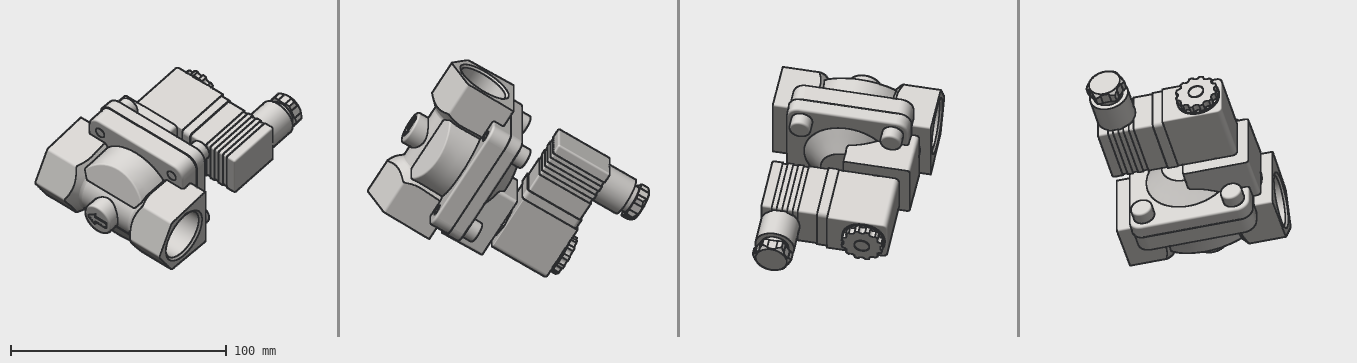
import cadquery as cq
import math


port_span = 74.5
hex_apothem = 15.66
hex_back_y = 15.9
hex_back_half = 17.0
hex_edge_round = 1.7
hex_back_round = 0.9
waist_radius = 12.6
waist_cone_x = 14.5
waist_round = 2.1
thread_dia = 24.1
thread_mouth_dia = 26.4
thread_depth = 13.8
bore_dia = 19.5
bore_depth = 20.2
bowl_radius_top = 22.3
bowl_radius_low = 21.9
bowl_rim_y = -2.7
bowl_flat_end_y = -8.5
bowl_flat_end_z = 8.8
bowl_rim_round = 0.9
boss_dia = 15.8
boss_end_y = -17.7
boss_edge_round = 0.9
arrow_end_y = -18.3
arrow_tip_x = -5.0
arrow_tip_half = 0.5
arrow_shoulder_x = -1.1
arrow_head_half = 3.3
arrow_shaft_half = 1.6
arrow_tail_x = 5.6
arrow_round = 0.5

flange_low_y = 10.2
joint_y = 19.8
flange_top_y = 26.3
body_flange_width = 56.8
cover_flange_width = 57.8
cover_flange_draft = 2.0
flange_corner = 6.1
flange_edge_round = 1.1
screw_offset = 21.4
screw_shank_dia = 5.0
screw_head_dia = 10.0
screw_head_top_y = 32.2
screw_head_round = 1.0

channel_radius = 13.4
channel_blend = 3.1
channel_half = 10.7
block_left_x = -32.7
block_right_x = -0.5
block_half = 14.8
block_top_y = 41.2
block_corner = 1.8
block_draft = 0.9
dome_radius_low = 20.4
dome_radius_top = 11.1
dome_top_y = 34.1

coil_axis_x = -16.6
coil_left_x = -27.7
coil_right_x = 0.7
coil_low_y = 43.7
coil_top_y = 73.2
coil_half = 11.0
coil_corner = 2.4
coil_top_round = 0.7
coil_low_round = 0.3
coil_nut_flats = 13.8
knob_base_dia = 20.2
knob_base_top_y = 74.1
knob_dia = 19.5
knob_top_y = 77.6
knob_ridges = 12
scallop_radius = 1.7
scallop_half = 1.6
knob_tip_dia = 7.1
knob_tip_y = 77.9
gasket_right_x = 5.6
gasket_low_y = 42.7
gasket_top_y = 72.4
gasket_half = 11.5
gasket_corner = 2.1
gasket_edge_round = 0.8
plug_right_x = 32.1
plug_low_y = 43.4
plug_top_y = 71.7
plug_half = 10.8
plug_edge_round = 1.0
groove_start_x = 14.8
groove_pitch = 4.9
groove_width = 2.4
groove_count = 3
groove_depth = 0.3
gland_dia = 18.3
gland_top_y = 85.6
gland_neck_dia = 13.2
gland_nut_low_y = 88.7
gland_nut_top_y = 94.0
gland_nut_flats = 15.8
gland_nut_chamfer = 1.8
gland_slot_width = 4.0
gland_slot_depth = 0.2


def across_y(y, x=0.0):
    """Sketch plane square to Y; extruding by a negative length goes toward +Y."""
    return cq.Workplane("XZ", origin=(x, y, 0))


def disc(dia, y0, y1, x=0.0):
    return across_y(y0, x).circle(dia / 2).extrude(y0 - y1)


def block(x0, x1, y0, y1, half_z):
    center = ((x0 + x1) / 2, (y0 + y1) / 2, 0)
    return cq.Workplane("XY").box(x1 - x0, y1 - y0, 2 * half_z).translate(center)


def rounded_block(length, width, corner, y0, y1, x, draft):
    """Rectangular block along Y with round corners, narrowing toward +Y by the draft angle."""
    plane = across_y(y0, x)
    outline = plane.sketch().rect(length, width).vertices().fillet(corner).finalize()
    return outline.extrude(y0 - y1, taper=draft)


def hexagon(flats, y0, y1, x):
    """Hexagonal prism along Y with its corners toward -X and +X."""
    return across_y(y0, x).polygon(6, flats / math.cos(math.pi / 6)).extrude(y0 - y1)


def four_corners(workplane):
    return workplane.rect(2 * screw_offset, 2 * screw_offset, forConstruction=True).vertices()


def flange(width, y0, y1, draft=0.0):
    """Square plate with round corners, narrowing toward +Y by the draft angle."""
    return rounded_block(width, width, flange_corner, y0, y1, 0.0, draft)



def port_prism():
    shoulder_y = -hex_apothem * math.tan(math.pi / 6)
    apex_y = -hex_apothem / math.cos(math.pi / 6)
    outline = [
        (apex_y, 0),
        (shoulder_y, hex_apothem),
        (hex_back_y, hex_back_half),
        (hex_back_y, -hex_back_half),
        (shoulder_y, -hex_apothem),
    ]
    prism = cq.Workplane("YZ").polyline(outline).close().extrude(port_span / 2, both=True)
    prism = prism.edges("|X").edges("<Y or (not >Y)").fillet(hex_edge_round)
    return prism.edges("|X").edges(">Y").fillet(hex_back_round)


def port_ends():
    """Both port hexagons, necked to a round waist in front and straight back to the flange."""
    reach = 22.5
    end_x = port_span / 2
    cone_x = waist_cone_x + reach - waist_radius
    half_outline = [
        (-end_x, 0), (-end_x, reach), (-cone_x, reach), (-waist_cone_x, waist_radius),
        (waist_cone_x, waist_radius), (cone_x, reach), (end_x, reach), (end_x, 0),
    ]
    mirrored = [(x, -z) for x, z in reversed(half_outline[1:-1])]
    front = cq.Workplane("XZ").polyline(half_outline).close().revolve(180, (0, 0), (1, 0))
    box = [waist_cone_x + waist_round, waist_radius + waist_round, waist_radius + waist_round]
    waist_rings = cq.selectors.BoxSelector([-size for size in box], box, boundingbox=True)
    front = front.edges(waist_rings).edges("%CIRCLE").fillet(waist_round)
    back = cq.Workplane("XZ").polyline(half_outline[1:-1] + mirrored).close().extrude(-hex_back_y)
    prism = port_prism()
    return prism.intersect(front).union(prism.intersect(back))


def bowl():
    """Tapered bowl under the flange, cut by two sloping flats that run into the waist."""
    cone = (
        cq.Workplane("XY")
        .moveTo(0, flange_low_y)
        .lineTo(bowl_radius_top, flange_low_y)
        .lineTo(bowl_radius_low, bowl_flat_end_y)
        .lineTo(0, bowl_flat_end_y)
        .close()
        .revolve(360, (0, 0), (0, 1))
    )
    wide = bowl_radius_top + 1.1
    flats = [
        (flange_low_y, wide), (bowl_rim_y, wide), (bowl_rim_y, bowl_radius_top),
        (bowl_flat_end_y, bowl_flat_end_z), (bowl_flat_end_y, -bowl_flat_end_z),
        (bowl_rim_y, -bowl_radius_top), (bowl_rim_y, -wide), (flange_low_y, -wide),
    ]
    wedge = cq.Workplane("YZ").polyline(flats).close().extrude(wide, both=True)
    return cone.intersect(wedge).edges("%ELLIPSE").fillet(bowl_rim_round)


def pilot_channel():
    """Rounded swelling of the body under the pilot block, blended into the flange side."""
    side_x = -body_flange_width / 2
    angle = math.asin(channel_half / (channel_radius + channel_blend))
    center_x = side_x - channel_blend + (channel_radius + channel_blend) * math.cos(angle)
    tangent_x = center_x - channel_radius * math.cos(angle)
    tangent_z = channel_radius * math.sin(angle)
    blend_x = side_x - channel_blend * (1 - math.cos(angle / 2))
    blend_z = channel_half - channel_blend * math.sin(angle / 2)
    return (
        across_y(flange_low_y)
        .moveTo(side_x + flange_edge_round, channel_half)
        .lineTo(side_x, channel_half)
        .threePointArc((blend_x, blend_z), (tangent_x, tangent_z))
        .threePointArc((center_x - channel_radius, 0), (tangent_x, -tangent_z))
        .threePointArc((blend_x, -blend_z), (side_x, -channel_half))
        .lineTo(side_x + flange_edge_round, -channel_half)
        .close()
        .extrude(flange_low_y - joint_y)
    )


def arrow_boss():
    """Round boss with a raised flow arrow pointing toward -X."""
    boss = disc(boss_dia, 0, boss_end_y).faces("<Y").edges().fillet(boss_edge_round)
    outline = [
        (arrow_tip_x, arrow_tip_half),
        (arrow_shoulder_x, arrow_head_half),
        (arrow_shoulder_x, arrow_shaft_half),
        (arrow_tail_x, arrow_shaft_half),
        (arrow_tail_x, -arrow_shaft_half),
        (arrow_shoulder_x, -arrow_shaft_half),
        (arrow_shoulder_x, -arrow_head_half),
        (arrow_tip_x, -arrow_tip_half),
    ]
    arrow = across_y(boss_end_y).polyline(outline).close().extrude(boss_end_y - arrow_end_y)
    return boss.union(arrow.edges("|Y").edges(">X").fillet(arrow_round))


def port_bore():
    """Chamfered thread bore with a conical step into a blind bore, at the -X end."""
    end_x = -port_span / 2
    chamfer = (thread_mouth_dia - thread_dia) / 2
    step = (thread_dia - bore_dia) / 2
    return (
        cq.Workplane("XZ")
        .moveTo(end_x, 0)
        .lineTo(end_x, thread_mouth_dia / 2)
        .lineTo(end_x + chamfer, thread_dia / 2)
        .lineTo(end_x + thread_depth, thread_dia / 2)
        .lineTo(end_x + thread_depth + step, bore_dia / 2)
        .lineTo(end_x + bore_depth, bore_dia / 2)
        .lineTo(end_x + bore_depth, 0)
        .close()
        .revolve(360, (0, 0), (1, 0))
    )


def valve_body():
    body_flange = flange(body_flange_width, flange_low_y, joint_y)
    body_flange = body_flange.faces("<Y").edges().fillet(flange_edge_round)
    body = port_ends().union(bowl()).union(arrow_boss())
    body = body.union(body_flange).union(pilot_channel())
    screw_holes = four_corners(across_y(flange_low_y)).circle(screw_shank_dia / 2)
    screw_holes = screw_holes.extrude(flange_low_y - joint_y)
    bore = port_bore()
    return body.cut(screw_holes).cut(bore).cut(bore.mirror("YZ"))



def pilot_block():
    length = block_right_x - block_left_x
    center_x = (block_left_x + block_right_x) / 2
    return rounded_block(length, 2 * block_half, block_corner, joint_y, block_top_y, center_x, block_draft)


def dome():
    outline = [
        (0, flange_top_y), (dome_radius_low, flange_top_y), (dome_radius_top, dome_top_y), (0, dome_top_y),
    ]
    return cq.Workplane("XY").polyline(outline).close().revolve(360, (0, 0), (0, 1))


def screws():
    heads = four_corners(across_y(flange_top_y)).circle(screw_head_dia / 2)
    heads = heads.extrude(flange_top_y - screw_head_top_y)
    heads = heads.faces(">Y").edges().fillet(screw_head_round)
    shanks = four_corners(across_y(flange_low_y)).circle(screw_shank_dia / 2)
    shanks = shanks.extrude(flange_low_y - flange_top_y)
    return heads.union(shanks)


def cover():
    plate = flange(cover_flange_width, joint_y, flange_top_y, cover_flange_draft)
    plate = plate.faces(">Y").edges().fillet(flange_edge_round)
    return plate.union(dome()).union(pilot_block()).union(screws())



def coil_housing():
    housing = block(coil_left_x, coil_right_x, coil_low_y, coil_top_y, coil_half)
    housing = housing.edges("|Y and <X").fillet(coil_corner)
    housing = housing.faces(">Y").edges("not >X").fillet(coil_top_round)
    return housing.faces("<Y").edges("not >X").fillet(coil_low_round)


def knob():
    """Round knob with scallops around its grip and a small tip."""
    base = disc(knob_base_dia, coil_top_y, knob_base_top_y, coil_axis_x)
    grip = disc(knob_dia, knob_base_top_y, knob_top_y, coil_axis_x)
    scallop_orbit = math.sqrt((knob_dia / 2) ** 2 - scallop_half**2)
    scallop_orbit += math.sqrt(scallop_radius**2 - scallop_half**2)
    scallops = (
        across_y(knob_base_top_y, coil_axis_x)
        .polarArray(scallop_orbit, 0, 360, knob_ridges)
        .circle(scallop_radius)
        .extrude(knob_base_top_y - knob_top_y)
    )
    tip = disc(knob_tip_dia, knob_top_y, knob_tip_y, coil_axis_x)
    return base.union(grip.cut(scallops)).union(tip)


def gasket():
    seal = block(coil_right_x, gasket_right_x, gasket_low_y, gasket_top_y, gasket_half)
    seal = seal.edges("|X").fillet(gasket_corner)
    return seal.faces("<X").edges().fillet(gasket_edge_round)


def plug():
    """Cable plug with shallow grooves running around it."""
    shell = block(gasket_right_x, plug_right_x, plug_low_y, plug_top_y, plug_half)
    shell = shell.edges("|X or >X").fillet(plug_edge_round)
    core_low_y = plug_low_y + groove_depth
    core_top_y = plug_top_y - groove_depth
    for index in range(groove_count):
        x0 = groove_start_x + index * groove_pitch
        x1 = x0 + groove_width
        core = block(x0, x1, core_low_y, core_top_y, plug_half - groove_depth)
        core = core.edges("|X").fillet(plug_edge_round)
        shell = shell.cut(block(x0, x1, plug_low_y, plug_top_y, plug_half).cut(core))
    return shell


def cable_gland():
    """Sleeve, neck and hexagonal nut with a shallow slot along each flat."""
    axis_x = plug_right_x - gland_dia / 2
    sleeve = disc(gland_dia, plug_top_y - 2 * plug_edge_round, gland_top_y, axis_x)
    neck = disc(gland_neck_dia, gland_top_y, gland_nut_low_y, axis_x)
    nut = hexagon(gland_nut_flats, gland_nut_low_y, gland_nut_top_y, axis_x)
    nut_envelope = disc(gland_dia, gland_nut_low_y, gland_nut_top_y, axis_x)
    nut = nut.intersect(nut_envelope.faces(">Y").edges().chamfer(gland_nut_chamfer))
    slots = (
        across_y(gland_nut_low_y, axis_x)
        .polarArray(gland_nut_flats / 2, 30, 360, 6)
        .rect(2 * gland_slot_depth, gland_slot_width)
        .extrude(gland_nut_low_y - gland_nut_top_y)
    )
    return sleeve.union(neck).union(nut.cut(slots))


def coil_unit():
    nut = hexagon(coil_nut_flats, block_top_y, coil_low_y, coil_axis_x)
    nut = nut.rotate((coil_axis_x, 0, 0), (coil_axis_x, 1, 0), 30)
    unit = coil_housing().union(nut).union(knob())
    return unit.union(gasket()).union(plug()).union(cable_gland())


body = valve_body()
cover_with_screws = cover()
coil = coil_unit()

result = cq.Compound.makeCompound([part.solids().val() for part in (body, cover_with_screws, coil)])